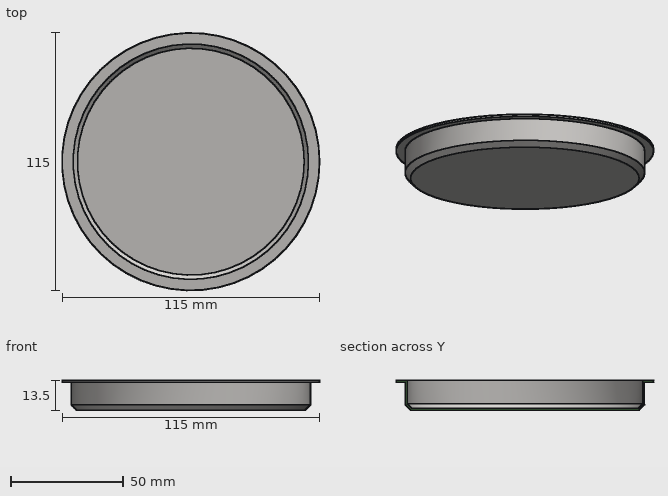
import cadquery as cq
import math

flange_diameter = 115.0
body_diameter = 107.0
wall = 1.0
flange_thickness = 1.0
total_height = 13.5
outer_chamfer = 2.5

flange_radius = flange_diameter / 2
body_radius = body_diameter / 2
cavity_radius = body_radius - wall
inner_chamfer = outer_chamfer - wall * (2 - math.sqrt(2))


def make_dish():
    """Shallow round dish with a chamfered base and a thin rim flange, resting on Z = 0."""
    half_section = (
        cq.Workplane("XZ")
        .moveTo(0, 0)
        .lineTo(body_radius - outer_chamfer, 0)
        .lineTo(body_radius, outer_chamfer)
        .lineTo(body_radius, total_height - flange_thickness)
        .lineTo(flange_radius, total_height - flange_thickness)
        .lineTo(flange_radius, total_height)
        .lineTo(cavity_radius, total_height)
        .lineTo(cavity_radius, wall + inner_chamfer)
        .lineTo(cavity_radius - inner_chamfer, wall)
        .lineTo(0, wall)
        .close()
    )
    return half_section.revolve(360, (0, 0, 0), (0, 1, 0))


result = make_dish()